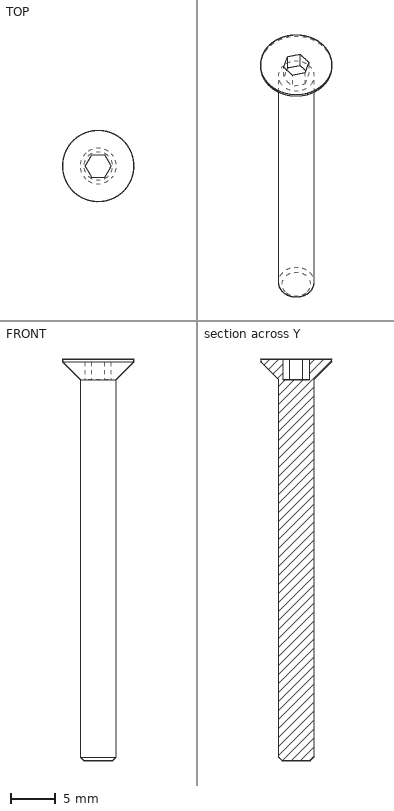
import cadquery as cq
import math

length = 45.0
head_diameter = 8.0
shank_diameter = 4.0

rim_height = 0.3

tip_chamfer = 0.4

socket_across_flats = 2.5
socket_depth = 2.3

head_radius = head_diameter / 2
shank_radius = shank_diameter / 2
cone_height = head_radius - shank_radius
cone_bottom = -rim_height - cone_height


def screw_body():
    """Head and shank turned about Z, with the head's flat top at Z = 0."""
    return (
        cq.Workplane("XZ")
        .moveTo(0, 0)
        .lineTo(head_radius, 0)
        .lineTo(head_radius, -rim_height)
        .lineTo(shank_radius, cone_bottom)
        .lineTo(shank_radius, -length + tip_chamfer)
        .lineTo(shank_radius - tip_chamfer, -length)
        .lineTo(0, -length)
        .close()
        .revolve(360, (0, 0, 0), (0, 1, 0))
    )


def drive_socket():
    """Hexagonal prism sunk into the head from its top face."""
    across_corners = socket_across_flats / math.cos(math.pi / 6)
    return cq.Workplane("XY").polygon(6, across_corners).extrude(-socket_depth)


result = screw_body().cut(drive_socket())